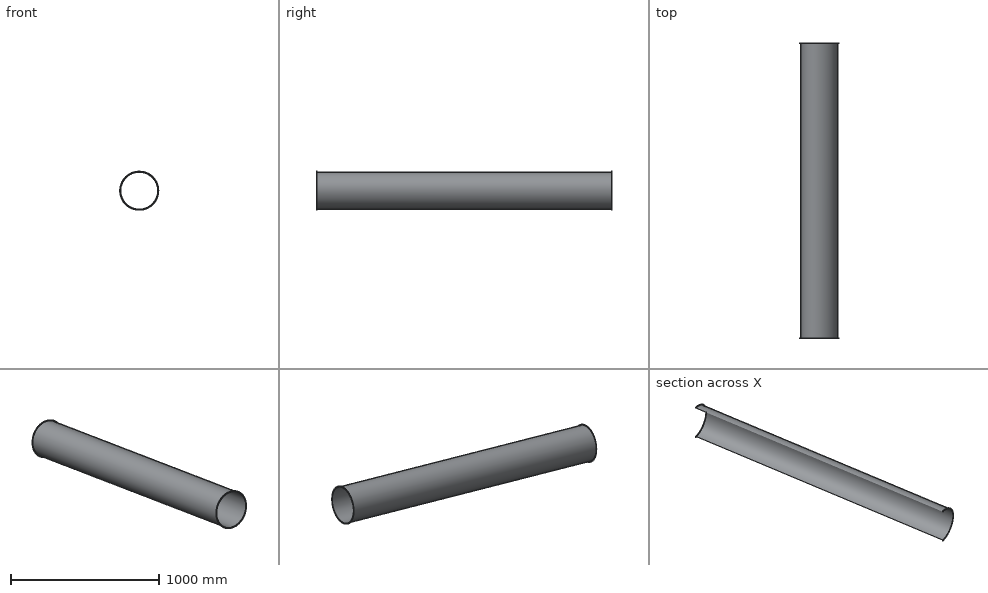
import cadquery as cq

duct_length = 1988.0
bore_diameter = 249.0
lip_diameter = 263.0
wall_thickness = 1.0
lip_thickness = wall_thickness

duct_diameter = bore_diameter + 2 * wall_thickness


def cylinder_along_y(diameter, start_y, length):
    """Solid cylinder on the Y axis, growing from start_y toward +Y."""
    plane = cq.Workplane("XZ", origin=(0, start_y, 0))
    return plane.circle(diameter / 2).extrude(-length)


def make_duct():
    """Tube with an outward lip flush with each end."""
    first_end_y = -duct_length / 2
    last_end_y = duct_length / 2
    duct = cylinder_along_y(duct_diameter, first_end_y, duct_length)
    for lip_start_y in (first_end_y, last_end_y - lip_thickness):
        duct = duct.union(cylinder_along_y(lip_diameter, lip_start_y, lip_thickness))
    return duct.cut(cylinder_along_y(bore_diameter, first_end_y, duct_length))


result = make_duct()